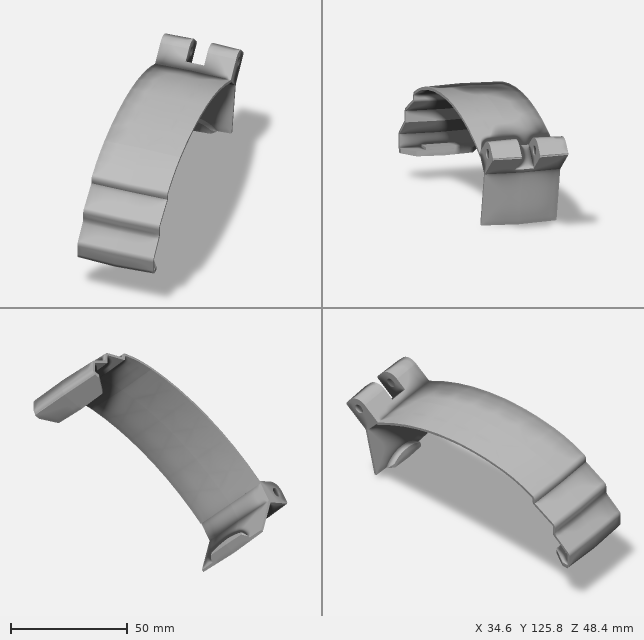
import cadquery as cq
import math

half_width = 17.1
draft = 1.5
wall = 2.1
bend_radius = 2.5
inner_bend_radius = 1.5
match_tolerance = 0.01

bow_centre = (-9.3, -76.5)
bow_radius = 100.8
shoulder_radius = 56.6
bow_start_y = 45.9
shoulder_start_y = -25.1

step_1_y = -43.5
step_1_bottom = 13.7
step_2_y = -54.8
step_2_top = 7.3
step_2_bottom = 2.0
end_wall_y = -62.9
end_wall_top = -4.8
end_wall_bottom = -14.0
foot_length = 4.3

flange_half_width = 17.3
flange_thickness = 2.9
flange_tip_y = -50.9
flange_shoulder_y = -58.7
flange_tip_half_width = 12.5
flange_corner_radius = 1.3

lip_length = 6.2
lip_height = 1.1
lip_half_width = 8.5

pivot = (55.3, 9.7)
block_tilt = 38.0
lug_radius = 5.7
block_length = 10.0
block_depth = 5.9
block_corner_radius = 0.6
pin_hole_radius = 2.1
lug_gap = 8.3

leg_wall = 2.0
foot_corner = (47.0, -24.1)
leg_tilt = 12.0
leg_length = 25.8

pad_radius = 14.7
pad_height = 4.9
pad_thickness = 3.3
pad_base_half_width = 11.0
pad_face_half_width = 8.5


def both_sides(half):
    """Half part on the +X side joined with its mirror image."""
    return half.union(half.mirror("YZ"))


def drafted(points, half_length=half_width):
    """Solid of a YZ polygon, full size at X = 0 and shrinking by the draft towards both sides."""
    return both_sides(cq.Workplane("YZ").polyline(points).close().extrude(half_length, taper=draft))


def arc_point(centre, radius, y):
    """Point at the given Y on the upper side of a circle."""
    return (y, centre[1] + math.sqrt(radius**2 - (y - centre[0]) ** 2))


def towards(point, centre, distance):
    """Point moved by a distance straight towards a centre."""
    span = math.dist(point, centre)
    return tuple(p + (c - p) * distance / span for p, c in zip(point, centre))


def mitre(before, corner, after, distance):
    """Corner of the path lying a distance to the inner side of two joined straight runs."""
    heading_in = math.atan2(corner[1] - before[1], corner[0] - before[0])
    heading_out = math.atan2(after[1] - corner[1], after[0] - corner[0])
    bisector = (heading_in + heading_out) / 2 + math.pi / 2
    reach = distance / math.cos((heading_out - heading_in) / 2)
    return (corner[0] + reach * math.cos(bisector), corner[1] + reach * math.sin(bisector))


def rounded(wire, corners, radius):
    """Outline with the corners at the given YZ points rounded."""
    vertices = [
        vertex
        for vertex in wire.Vertices()
        if any(math.dist((vertex.Y, vertex.Z), corner) < match_tolerance for corner in corners)
    ]
    return wire.fillet2D(radius, vertices)


shoulder_joint = arc_point(bow_centre, bow_radius, shoulder_start_y)
shoulder_centre = towards(shoulder_joint, bow_centre, shoulder_radius)
bow_ends = [
    arc_point(bow_centre, bow_radius, bow_start_y),
    arc_point(bow_centre, bow_radius, bow_centre[0]),
    shoulder_joint,
]
shoulder_middle = arc_point(shoulder_centre, shoulder_radius, (shoulder_start_y + step_1_y) / 2)
knees = [
    arc_point(shoulder_centre, shoulder_radius, step_1_y),
    (step_1_y, step_1_bottom),
    (step_2_y, step_2_top),
    (step_2_y, step_2_bottom),
    (end_wall_y, end_wall_top),
    (end_wall_y, end_wall_bottom),
]


def bow_points(depth):
    """Start, crown and end of the bow, a depth below its outer surface."""
    return [towards(point, bow_centre, depth) for point in bow_ends]


def knee_points(depth):
    """Corners of the stepped part down to the top of the end wall, a depth below its outer surface."""
    shoulder_end = arc_point(shoulder_centre, shoulder_radius - depth, step_1_y + depth)
    bends = [mitre(*knees[i - 1 : i + 2], depth) for i in range(1, len(knees) - 1)]
    return [shoulder_end, *bends]


def strap_outline(x, inset):
    """Strap outline in the plane at X, with every face set in by the inset."""
    outer_bow = bow_points(inset)
    inner_bow = bow_points(wall - inset)
    outer_knees = knee_points(inset)
    inner_knees = knee_points(wall - inset)

    wall_foot = (end_wall_y + inset, end_wall_bottom + inset)
    flange_top = end_wall_bottom + flange_thickness - inset
    inner_wall_y = end_wall_y + wall - inset
    foot_y = end_wall_y + foot_length

    outline = cq.Workplane("YZ", origin=(x, 0, 0)).moveTo(*outer_bow[0])
    outline = outline.threePointArc(*outer_bow[1:])
    outline = outline.threePointArc(towards(shoulder_middle, shoulder_centre, inset), outer_knees[0])
    foot = [wall_foot, (foot_y, wall_foot[1]), (foot_y, flange_top), (inner_wall_y, flange_top)]
    for corner in outer_knees[1:] + foot + inner_knees[::-1]:
        outline = outline.lineTo(*corner)
    outline = outline.threePointArc(
        towards(shoulder_middle, shoulder_centre, wall - inset), inner_bow[2]
    )
    outline = outline.threePointArc(inner_bow[1], inner_bow[0]).close()

    outer_bends = [outer_knees[0], *outer_knees[2:], wall_foot]
    wire = rounded(outline.val(), outer_bends, bend_radius)
    return rounded(wire, inner_knees[:2], inner_bend_radius)


def strap():
    inset = half_width * math.tan(math.radians(draft))
    outlines = [strap_outline(0, 0), strap_outline(half_width, inset)]
    return both_sides(cq.Workplane(cq.Solid.makeLoft(outlines, True)))


def flange():
    root_y = end_wall_y + wall / 2
    top = end_wall_bottom + flange_thickness
    plate = drafted(
        [
            (root_y, end_wall_bottom),
            (flange_tip_y, end_wall_bottom),
            (flange_tip_y, top),
            (root_y, top),
        ],
        flange_half_width,
    )
    plan = (
        cq.Workplane("XY", origin=(0, 0, end_wall_bottom))
        .polyline(
            [
                (-flange_half_width, end_wall_y),
                (flange_half_width, end_wall_y),
                (flange_half_width, flange_shoulder_y),
                (flange_tip_half_width, flange_tip_y),
                (-flange_tip_half_width, flange_tip_y),
                (-flange_half_width, flange_shoulder_y),
            ]
        )
        .close()
        .extrude(flange_thickness)
        .edges("|Z and >Y")
        .fillet(flange_corner_radius)
    )
    return plate.intersect(plan)


def hinge_block():
    block = (
        cq.Workplane("YZ")
        .moveTo(0, -lug_radius)
        .lineTo(block_length, -lug_radius)
        .lineTo(block_length, block_depth)
        .lineTo(block_corner_radius - lug_radius, block_depth)
        .radiusArc((-lug_radius, block_depth - block_corner_radius), block_corner_radius)
        .lineTo(-lug_radius, 0)
        .radiusArc((0, -lug_radius), -lug_radius)
        .close()
        .extrude(half_width, taper=draft)
    )
    block = both_sides(block)
    gap_height = 2 * (lug_radius + block_depth)
    gap = cq.Workplane("XY").box(lug_gap, 2 * lug_radius, gap_height)
    pin_hole = cq.Workplane("YZ").circle(pin_hole_radius).extrude(half_width, both=True)
    block = block.cut(gap).cut(pin_hole)
    return block.rotate((0, 0, 0), (1, 0, 0), 180 + block_tilt).translate((0, *pivot))


def leg():
    face_y = -leg_wall - pad_thickness
    inside_y = -leg_wall / 2
    plate = drafted([(0, 0), (-leg_wall, 0), (-leg_wall, leg_length), (0, leg_length)])
    pad_block = drafted([(inside_y, 0), (face_y, 0), (face_y, pad_height), (inside_y, pad_height)])
    disc = (
        cq.Workplane("XZ", origin=(0, 0, pad_height - pad_radius))
        .circle(pad_radius)
        .extrude(-face_y)
    )
    oblique_ends = (
        cq.Workplane("XY")
        .polyline(
            [
                (-pad_base_half_width, 0),
                (-pad_base_half_width, -leg_wall),
                (-pad_face_half_width, face_y),
                (pad_face_half_width, face_y),
                (pad_base_half_width, -leg_wall),
                (pad_base_half_width, 0),
            ]
        )
        .close()
        .extrude(pad_height)
    )
    pad = pad_block.intersect(disc).intersect(oblique_ends)
    upright = plate.union(pad)
    return upright.rotate((0, 0, 0), (1, 0, 0), -leg_tilt).translate((0, *foot_corner))


def clamp():
    return strap().union(flange()).union(hinge_block()).union(leg())


def latch_lip():
    flange_top = end_wall_bottom + flange_thickness
    return (
        cq.Workplane("XY", origin=(0, flange_tip_y - lip_length / 2, flange_top))
        .rect(2 * lip_half_width, lip_length)
        .extrude(lip_height)
    )


clamp_body = clamp()
lip_body = latch_lip()
result = cq.Compound.makeCompound([clamp_body.val(), lip_body.val()])